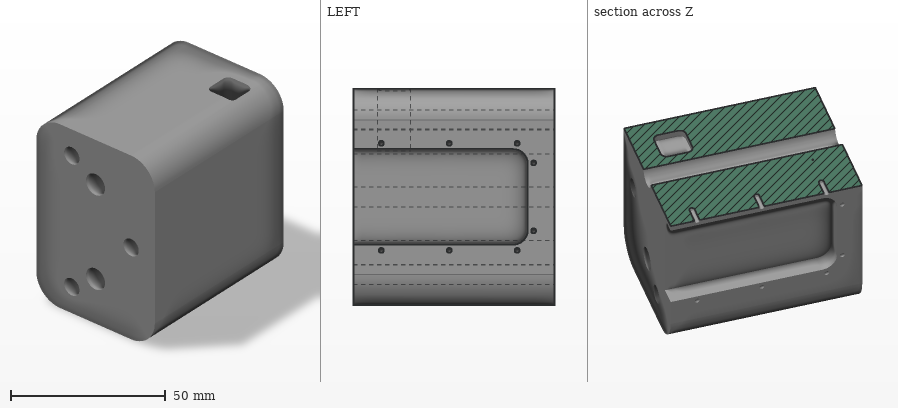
import cadquery as cq
import math

WIDTH = 50.0
LENGTH = 65.1
HEIGHT = 70
CORNER_RADIUS = 10.0

BOLT_DIAMETER = 6.45
BOLT_PAIR_X = -10.0
BOLT_PAIR_Z = 25.0
SINGLE_BOLT_X = 15.0
BORE_DIAMETER = 8.0
BORE_Z = 18.0

RECESS_LENGTH = 56.5
RECESS_HEIGHT = 31.0
RECESS_DEPTH = 6.0
RECESS_CORNER_RADIUS = 5.0

SCREW_DIAMETER = 1.6
SCREW_DEPTH = 6.0
DRILL_POINT_ANGLE = 118
SCREW_EDGE_OFFSET = 1.8
SCREW_PITCH = 22.0
SCREWS_PER_ROW = 3
FIRST_SCREW_FROM_END = 9.0

POCKET_SIZE = 10.7
POCKET_X = 13.0
POCKET_FROM_END = 13.0
POCKET_DEPTH = 20.0
POCKET_CORNER_RADIUS = 2.0


def make_block():
    block = cq.Workplane("XY").box(WIDTH, LENGTH, HEIGHT)
    return block.edges("|Y").fillet(CORNER_RADIUS)


def long_holes(diameter, points):
    plane = cq.Workplane("XZ", origin=(0, LENGTH / 2, 0))
    return plane.pushPoints(points).circle(diameter / 2).extrude(LENGTH)


def make_recess():
    center = (
        (RECESS_DEPTH - WIDTH) / 2,
        (LENGTH - RECESS_LENGTH) / 2,
        0,
    )
    recess = cq.Workplane("XY").box(RECESS_DEPTH, RECESS_LENGTH, RECESS_HEIGHT)
    recess = recess.edges("|X and <Y").fillet(RECESS_CORNER_RADIUS)
    return recess.translate(center)


def screw_points():
    """(Y, Z) centres: a row above and below the recess and a pair at its closed end."""
    row_z = RECESS_HEIGHT / 2 + SCREW_EDGE_OFFSET
    end_y = LENGTH / 2 - RECESS_LENGTH - SCREW_EDGE_OFFSET
    first_y = LENGTH / 2 - FIRST_SCREW_FROM_END
    points = []
    for side in (-1, 1):
        for i in range(SCREWS_PER_ROW):
            points.append((first_y - i * SCREW_PITCH, side * row_z))
        points.append((end_y, side * SCREW_PITCH / 2))
    return points


def make_screw_hole():
    """Drill shape along +X, starting at the origin."""
    radius = SCREW_DIAMETER / 2
    tip_length = radius / math.tan(math.radians(DRILL_POINT_ANGLE / 2))
    half_profile = (
        cq.Workplane("XY")
        .lineTo(0, radius)
        .lineTo(SCREW_DEPTH, radius)
        .lineTo(SCREW_DEPTH + tip_length, 0)
        .close()
    )
    return half_profile.revolve(360, (0, 0, 0), (1, 0, 0))


def make_screw_holes():
    hole = make_screw_hole().val()
    holes = cq.Workplane("XY")
    for y, z in screw_points():
        holes = holes.add(hole.translate(cq.Vector(-WIDTH / 2, y, z)))
    return holes.combine()


def make_pocket():
    pocket = cq.Workplane("XY").box(POCKET_SIZE, POCKET_SIZE, POCKET_DEPTH)
    pocket = pocket.edges("|Z").fillet(POCKET_CORNER_RADIUS)
    return pocket.translate((POCKET_X, LENGTH / 2 - POCKET_FROM_END, (HEIGHT - POCKET_DEPTH) / 2))


bolt_points = [(BOLT_PAIR_X, BOLT_PAIR_Z), (BOLT_PAIR_X, -BOLT_PAIR_Z), (SINGLE_BOLT_X, 0)]
bore_points = [(0, BORE_Z), (0, -BORE_Z)]

result = (
    make_block()
    .cut(long_holes(BOLT_DIAMETER, bolt_points))
    .cut(long_holes(BORE_DIAMETER, bore_points))
    .cut(make_recess())
    .cut(make_screw_holes())
    .cut(make_pocket())
)